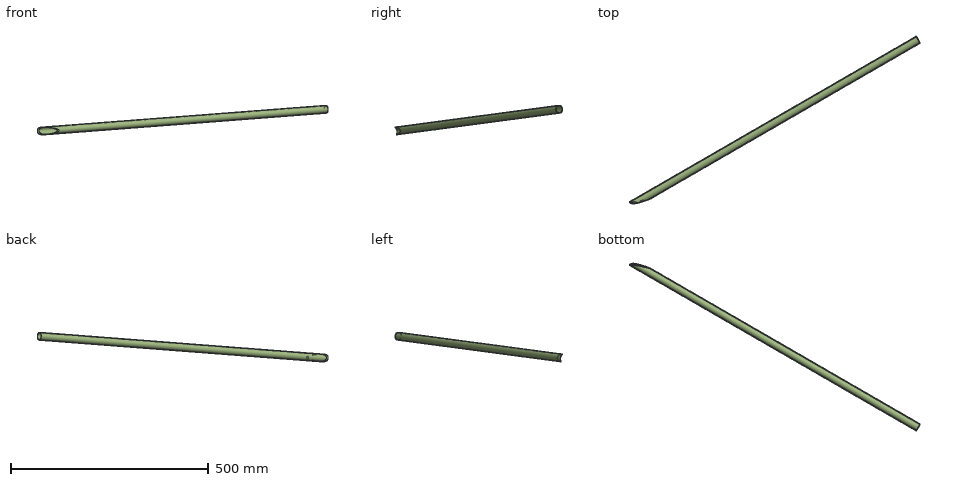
import cadquery as cq

outer_diameter = 20.3
wall = 1.65
inner_diameter = outer_diameter - 2 * wall

run_x = 735.31
run_y = 424.62
rise_z = 56.45

mating_radius = 12.7
mating_yaw = 9.0

cope_allowance = 80.0

axis = cq.Vector(run_x, run_y, rise_z)
direction = axis.normalized()


def tube_blank():
    """Plain tube along the inclined axis, cut square at the far end."""
    start = direction * -cope_allowance
    start_plane = cq.Plane(origin=start.toTuple(), normal=direction.toTuple())
    profile = cq.Workplane(start_plane).circle(outer_diameter / 2).circle(inner_diameter / 2)
    return profile.extrude(axis.Length + cope_allowance)


def cope_cutter():
    """Mating cylinder plus everything on its -Y side, turned to the yaw of the mating axis."""
    half_length = 2 * cope_allowance
    cylinder = cq.Workplane("YZ").circle(mating_radius).extrude(half_length, both=True)
    beyond = (
        cq.Workplane("XY")
        .box(2 * half_length, half_length, 2 * half_length)
        .translate((0, -half_length / 2, 0))
    )
    return cylinder.union(beyond).rotate((0, 0, 0), (0, 0, 1), mating_yaw)


result = tube_blank().cut(cope_cutter())